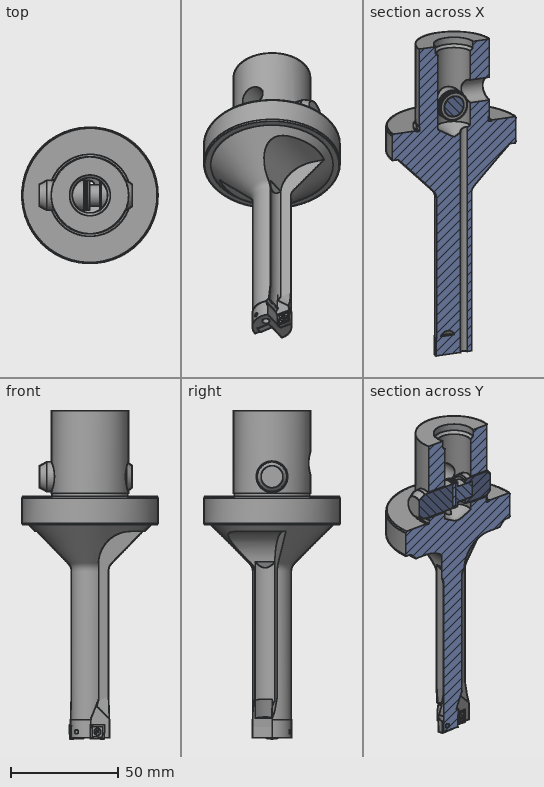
import cadquery as cq
import math


SHAFT_D = 36.0
SHAFT_TOP = 40.0
NECK_D = 35.4
NECK_H = 1.6
GROOVE_D = 38.2
GROOVE_DEPTH = 0.5
FLANGE_D = 63.5
FLANGE_T = 13.2
FLANGE_CHAMFER_R = 0.5
FLANGE_CHAMFER_H = 0.8
RIM_BORE_D = 19.0
RIM_BORE_DEPTH = 3.3
BORE_D = 16.4
BORE_BOTTOM = -1.0
BORE_TIP_ANGLE = 120.0

SHANK_R = 9.05
HEAD_R = 9.15
HEAD_TOP = -104.0
HEAD_BOTTOM = -112.4
CONE_TOP_R = 28.5
CONE_FILLET = 5.0
FILLET_HALF_ANGLE = math.radians(45.0 / 2)
FAR = 40.0
TOOL_BOTTOM = HEAD_BOTTOM - 5.0

FLUTE_FLOOR_X = 4.0
RUNOUT_R = 15.0
RUNOUT_START = -31.3
WALL_AXIS_Y = 0.3
WALL_SLOPE = 0.25
TROUGH_Y = -3.2
TROUGH_CHORD = 9.0
TROUGH_DEPTH = 1.4
TROUGH_TOP = -30.4
TROUGH_TOP_SLOPE = 2.0
TROUGH_R = ((TROUGH_CHORD / 2) ** 2 + TROUGH_DEPTH ** 2) / (2 * TROUGH_DEPTH)
RAMP_X = 6.0
RAMP_Z = -100.5
RAMP_KNEE_RUN = 2.5
RAMP_KNEE_Y = 1.3
RAMP_UPPER_RUN = 38.0
RAMP_UPPER_RISE = 10.0
GULLET_TOP = -94.7
INNER_GULLET = [(0.56, -103.2), (0.15, -107.4), (0.15, TOOL_BOTTOM)]
OUTER_GULLET = [(3.4, -102.6), (2.2, -104.2), (3.0, -107.4), (3.0, TOOL_BOTTOM)]

INSERT_SIZE = 6.6
INSERT_T = 2.6
INSERT_CORNER_R = 0.4
INSERT_RELIEF = 7.0
RAKE_MARGIN = 0.9
RAKE_DEPTH = 0.15
INSERT_TILT = 2.0
TIP_Z = -113.0
INSERT_CENTER_X = (3.5, 6.25)
SCREW_D = 1.8
SCREW_HEAD_D = 3.2
SCREW_HEAD_H = 0.9
SCREW_LENGTH = 4.6
SOCKET_D = 1.2
SOCKET_DEPTH = 0.5

COOLANT_D = 3.4
COOLANT_X = 0.2
COOLANT_Y = 5.0

PIN_Z = 9.2
PIN_D = 14.0
PIN_BORE_D = 14.4
PIN_CONE_D = 10.2
DRIVE_PIN_END = -23.5
DRIVE_PIN_CONE = -20.0
DRIVE_PIN_INNER = -2.9
RING_END = -1.2
COLLAR_END = 0.0
STUD_D = 10.0
STUD_LENGTH = 9.0
STUD_TIP = COLLAR_END + STUD_LENGTH
LOCK_PIN_INNER = 4.5
LOCK_PIN_CHAMFER = 0.7
LOCK_PIN_CONE = 17.2
LOCK_PIN_END = 19.7
EDGE_BREAK = 0.4
SIDE_HOLE_D = 11.0
SIDE_HOLE_Z = 15.5


def half_turn(shape):
    """Copy of a shape turned to the opposite side of the drill axis."""
    return shape.rotate((0, 0, 0), (0, 0, 1), 180)


def prism_along_y(points, y_from, y_to):
    """Prism over an XZ outline, running between two Y positions."""
    plane = cq.Workplane("XZ", origin=(0, y_to, 0))
    return plane.polyline(points).close().extrude(y_to - y_from)


def turned_along_x(points):
    """Turned body on the cross pin axis, from (x, radius) points."""
    profile = cq.Workplane("XY").polyline(points).close()
    return profile.revolve(360, (0, 0, 0), (1, 0, 0)).translate((0, 0, PIN_Z))


def turned_blank():
    """Shaft, flange, cone, shank and head as one turned profile."""
    flange_r = FLANGE_D / 2
    fillet_leg = CONE_FILLET * math.tan(FILLET_HALF_ANGLE)
    diagonal = math.sqrt(0.5)
    corner_z = -FLANGE_T - (CONE_TOP_R - SHANK_R)
    fillet_start = (SHANK_R + fillet_leg * diagonal, corner_z + fillet_leg * diagonal)
    fillet_end = (SHANK_R, corner_z - fillet_leg)
    fillet_mid = (
        SHANK_R + CONE_FILLET * (1 - math.cos(FILLET_HALF_ANGLE)),
        fillet_end[1] + CONE_FILLET * math.sin(FILLET_HALF_ANGLE),
    )
    return (
        cq.Workplane("XZ")
        .moveTo(0, SHAFT_TOP)
        .lineTo(SHAFT_D / 2, SHAFT_TOP)
        .lineTo(SHAFT_D / 2, NECK_H)
        .lineTo(NECK_D / 2, NECK_H)
        .lineTo(NECK_D / 2, -GROOVE_DEPTH)
        .lineTo(GROOVE_D / 2, -GROOVE_DEPTH)
        .lineTo(GROOVE_D / 2, 0)
        .lineTo(flange_r - FLANGE_CHAMFER_R, 0)
        .lineTo(flange_r, -FLANGE_CHAMFER_H)
        .lineTo(flange_r, FLANGE_CHAMFER_H - FLANGE_T)
        .lineTo(flange_r - FLANGE_CHAMFER_R, -FLANGE_T)
        .lineTo(CONE_TOP_R, -FLANGE_T)
        .lineTo(*fillet_start)
        .threePointArc(fillet_mid, fillet_end)
        .lineTo(SHANK_R, HEAD_TOP)
        .lineTo(HEAD_R, HEAD_TOP)
        .lineTo(HEAD_R, HEAD_BOTTOM)
        .lineTo(0, HEAD_BOTTOM)
        .close()
        .revolve(360, (0, 0, 0), (0, 1, 0))
    )


def shaft_bore():
    """Stepped bore with a chamfered step and a conical bottom."""
    rim_r = RIM_BORE_D / 2
    bore_r = BORE_D / 2
    step_z = SHAFT_TOP - RIM_BORE_DEPTH
    tip_z = BORE_BOTTOM - bore_r / math.tan(math.radians(BORE_TIP_ANGLE / 2))
    outline = [
        (0, SHAFT_TOP), (rim_r, SHAFT_TOP), (rim_r, step_z), (bore_r, step_z - (rim_r - bore_r)),
        (bore_r, BORE_BOTTOM), (0, tip_z),
    ]
    return cq.Workplane("XZ").polyline(outline).close().revolve(360, (0, 0, 0), (0, 1, 0))


def flute_cutter():
    """Straight flute: tilted wall, floor with a rounded trough, arched run-out in the cone."""
    runout_x = FLUTE_FLOOR_X + RUNOUT_R
    runout_z = RUNOUT_START + RUNOUT_R
    arch = RUNOUT_R * math.sqrt(0.5)
    cutter = (
        cq.Workplane("XZ", origin=(0, FAR, 0))
        .moveTo(FLUTE_FLOOR_X, TOOL_BOTTOM)
        .lineTo(FLUTE_FLOOR_X, RUNOUT_START)
        .threePointArc((runout_x - arch, RUNOUT_START + arch), (runout_x, runout_z))
        .lineTo(FAR, runout_z)
        .lineTo(FAR, TOOL_BOTTOM)
        .close()
        .extrude(2 * FAR)
    )

    trough_x = FLUTE_FLOOR_X - TROUGH_DEPTH + TROUGH_R
    trough_bottom = OUTER_GULLET[0][1]
    trough = (
        cq.Workplane("XY", origin=(trough_x, TROUGH_Y, trough_bottom))
        .circle(TROUGH_R)
        .extrude(runout_z - trough_bottom)
    )
    trough_start = TROUGH_TOP - TROUGH_TOP_SLOPE * FLUTE_FLOOR_X
    below_slope = prism_along_y(
        [
            (0, trough_start),
            (2 * FLUTE_FLOOR_X, TROUGH_TOP + TROUGH_TOP_SLOPE * FLUTE_FLOOR_X),
            (2 * FLUTE_FLOOR_X, TOOL_BOTTOM),
            (0, TOOL_BOTTOM),
        ],
        -FAR, FAR,
    )
    cutter = cutter.union(trough.intersect(below_slope))

    below_wall = (
        cq.Workplane("XY", origin=(0, 0, TOOL_BOTTOM))
        .polyline([(0, -FAR), (0, WALL_AXIS_Y), (FAR, WALL_AXIS_Y + WALL_SLOPE * FAR), (FAR, -FAR)])
        .close()
        .extrude(-TOOL_BOTTOM)
    )

    ramp_top_y = RAMP_KNEE_Y + RAMP_UPPER_RISE
    ramp_plane = cq.Plane(origin=(RAMP_X, 0, RAMP_Z), xDir=(-1, 0, -1), normal=(1, 0, -1))
    ramp = (
        cq.Workplane(ramp_plane)
        .polyline([
            (0, 0), (FAR, 0), (FAR, ramp_top_y), (-RAMP_KNEE_RUN - RAMP_UPPER_RUN, ramp_top_y),
            (-RAMP_KNEE_RUN, RAMP_KNEE_Y),
        ])
        .close()
        .extrude(FAR, both=True)
    )
    return cutter.intersect(below_wall).cut(ramp)


def gullet_cutter(floor_points):
    """Deeper gullet at the tip: a slanted floor with a trough, then the floor beside the insert."""
    floor = prism_along_y(
        [(FLUTE_FLOOR_X, GULLET_TOP), *floor_points, (FAR, TOOL_BOTTOM), (FAR, GULLET_TOP)],
        -FAR, 0,
    )
    slant_end_x, slant_end_z = floor_points[0]
    run_x = slant_end_x - FLUTE_FLOOR_X
    run_z = slant_end_z - GULLET_TOP
    length = math.hypot(run_x, run_z)
    axis_offset = TROUGH_R - TROUGH_DEPTH
    start = (
        FLUTE_FLOOR_X - axis_offset * run_z / length,
        TROUGH_Y,
        GULLET_TOP + axis_offset * run_x / length,
    )
    trough = cq.Workplane(cq.Plane(origin=start, xDir=(0, 1, 0), normal=(run_x, 0, run_z)))
    trough = trough.circle(TROUGH_R).extrude(length)
    open_side = cq.Workplane("XY").box(2 * FAR, FAR, 2 * FAR).translate((0, -FAR / 2, slant_end_z))
    return floor.union(trough.intersect(open_side))


def insert_center_z():
    """Height that puts the lowest rounded corner of the tilted insert at the drill tip."""
    tilt = math.radians(INSERT_TILT)
    corner = INSERT_SIZE / 2 - INSERT_CORNER_R
    return TIP_Z + INSERT_CORNER_R + corner * (math.cos(tilt) + math.sin(tilt))


def insert_blank(center_x):
    """Square insert without its hole; cutting face at Y = 0, tapering toward +Y."""
    blank = (
        cq.Workplane("XZ")
        .sketch()
        .rect(INSERT_SIZE, INSERT_SIZE)
        .vertices()
        .fillet(INSERT_CORNER_R)
        .finalize()
        .extrude(-INSERT_T, taper=INSERT_RELIEF)
    )
    center_z = insert_center_z()
    return blank.rotate((0, 0, 0), (0, 1, 0), INSERT_TILT).translate((center_x, 0, center_z))


def rake_recess(center_x):
    """Shallow square recess in the cutting face of an insert."""
    side = INSERT_SIZE - 2 * RAKE_MARGIN
    recess = cq.Workplane("XZ").rect(side, side).extrude(-RAKE_DEPTH)
    return recess.rotate((0, 0, 0), (0, 1, 0), INSERT_TILT).translate((center_x, 0, insert_center_z()))


def insert_screw(center_x):
    """Countersunk screw along Y with a hexagon socket, head flush with the sunken face."""
    head_r = SCREW_HEAD_D / 2
    shank_r = SCREW_D / 2
    cone_end = RAKE_DEPTH + SCREW_HEAD_H
    outline = [
        (0, RAKE_DEPTH), (head_r, RAKE_DEPTH), (shank_r, cone_end),
        (shank_r, SCREW_LENGTH), (0, SCREW_LENGTH),
    ]
    screw = cq.Workplane("XY").polyline(outline).close().revolve(360, (0, 0, 0), (0, 1, 0))
    socket = cq.Workplane("XZ").polygon(6, SOCKET_D).extrude(-RAKE_DEPTH - SOCKET_DEPTH)
    return screw.cut(socket).translate((center_x, 0, insert_center_z()))


def screw_hole(center_x):
    """Hole through the head for an insert screw."""
    plane = cq.Workplane("XZ", origin=(center_x, 0, insert_center_z()))
    return plane.circle(SCREW_D / 2).extrude(-2 * HEAD_R)


def drive_pin():
    pin_r = PIN_D / 2
    return turned_along_x([
        (DRIVE_PIN_END, 0), (DRIVE_PIN_END, PIN_CONE_D / 2), (DRIVE_PIN_CONE, pin_r),
        (DRIVE_PIN_INNER, pin_r), (DRIVE_PIN_INNER, 0),
    ])


def pin_ring():
    ring_r = PIN_D / 2
    return turned_along_x([
        (DRIVE_PIN_INNER, 0), (DRIVE_PIN_INNER, ring_r - EDGE_BREAK),
        (DRIVE_PIN_INNER + EDGE_BREAK, ring_r), (RING_END - EDGE_BREAK, ring_r),
        (RING_END, ring_r - EDGE_BREAK), (RING_END, 0),
    ])


def collar_stud():
    collar_r = PIN_D / 2
    stud_r = STUD_D / 2
    return turned_along_x([
        (RING_END, 0), (RING_END, collar_r), (COLLAR_END - EDGE_BREAK, collar_r),
        (COLLAR_END, collar_r - EDGE_BREAK), (COLLAR_END, stud_r), (STUD_TIP, stud_r), (STUD_TIP, 0),
    ])


def lock_pin():
    """Pin with a blind socket that takes the stud."""
    pin_r = PIN_D / 2
    stud_r = STUD_D / 2
    return turned_along_x([
        (LOCK_PIN_INNER, stud_r), (LOCK_PIN_INNER, pin_r - LOCK_PIN_CHAMFER),
        (LOCK_PIN_INNER + LOCK_PIN_CHAMFER, pin_r), (LOCK_PIN_CONE, pin_r),
        (LOCK_PIN_END, PIN_CONE_D / 2), (LOCK_PIN_END, 0), (STUD_TIP, 0), (STUD_TIP, stud_r),
    ])


inner_x, outer_x = INSERT_CENTER_X
insert_blanks = [insert_blank(inner_x), half_turn(insert_blank(outer_x))]
recesses = [rake_recess(inner_x), half_turn(rake_recess(outer_x))]
holes = [screw_hole(inner_x), half_turn(screw_hole(outer_x))]
screws = [insert_screw(inner_x), half_turn(insert_screw(outer_x))]
inserts = [
    blank.cut(recess).cut(hole).cut(screw)
    for blank, recess, hole, screw in zip(insert_blanks, recesses, holes, screws)
]

body = turned_blank().cut(shaft_bore())
flute = flute_cutter()
body = body.cut(flute).cut(half_turn(flute))
body = body.cut(gullet_cutter(INNER_GULLET)).cut(half_turn(gullet_cutter(OUTER_GULLET)))
for blank, hole in zip(insert_blanks, holes):
    body = body.cut(blank).cut(hole)

pin_bore = cq.Workplane("YZ").center(0, PIN_Z).circle(PIN_BORE_D / 2).extrude(SHAFT_D, both=True)
side_hole = cq.Workplane("XZ").center(0, SIDE_HOLE_Z).circle(SIDE_HOLE_D / 2).extrude(-SHAFT_D)
coolant = cq.Workplane("XY", origin=(COOLANT_X, COOLANT_Y, TOOL_BOTTOM))
coolant = coolant.circle(COOLANT_D / 2).extrude(-TOOL_BOTTOM)
body = body.cut(pin_bore).cut(side_hole).cut(coolant)

result = cq.Compound.makeCompound([
    body.val(),
    *[insert.val() for insert in inserts],
    *[screw.val() for screw in screws],
    drive_pin().val(),
    pin_ring().val(),
    collar_stud().val(),
    lock_pin().val(),
])